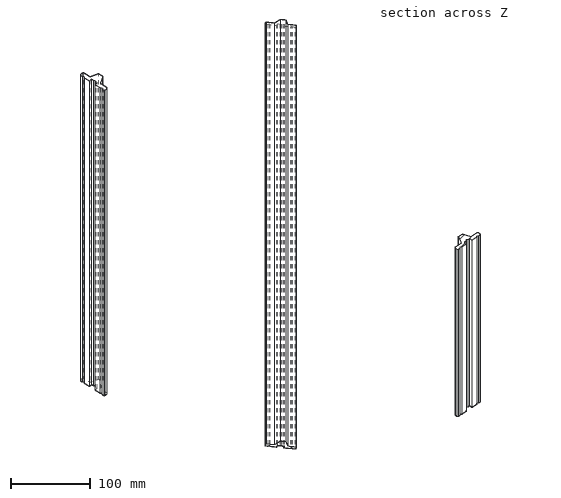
import cadquery as cq

length = 599.5
width = 40.0
depth = 17.0

flange_thickness = 6.0
rib_base_width = 17.0
rib_tip_width = 7.0
edge_chamfer = 1.0

slot_width = 9.0
slot_depth = 4.0
groove_offset = 14.5
groove_width = 3.0
groove_depth = 1.5
slot_groove_depth = 1.0

front_y = -depth / 2
flange_back_y = front_y + flange_thickness
rib_tip_y = depth / 2
slot_floor_y = front_y + slot_depth


def make_flange():
    flange = cq.Workplane("XY").box(width, flange_thickness, length, centered=(True, False, False))
    return flange.translate((0, front_y, 0)).edges("|Z").chamfer(edge_chamfer)


def make_rib():
    outline = [
        (-rib_base_width / 2, flange_back_y),
        (-rib_tip_width / 2, rib_tip_y),
        (rib_tip_width / 2, rib_tip_y),
        (rib_base_width / 2, flange_back_y),
        (slot_width / 2, slot_floor_y),
        (-slot_width / 2, slot_floor_y),
    ]
    return cq.Workplane("XY").polyline(outline).close().extrude(length)


def make_slot():
    slot = cq.Workplane("XY").box(slot_width, slot_depth, length, centered=(True, False, False))
    return slot.translate((0, front_y, 0))


def make_groove(x, face_y, tip_depth):
    outline = [
        (x - groove_width / 2, face_y),
        (x, face_y + tip_depth),
        (x + groove_width / 2, face_y),
    ]
    return cq.Workplane("XY").polyline(outline).close().extrude(length)


result = make_flange().union(make_rib()).cut(make_slot())
for groove_x in (-groove_offset, groove_offset):
    result = result.cut(make_groove(groove_x, front_y, groove_depth))
result = result.cut(make_groove(0, slot_floor_y, slot_groove_depth))